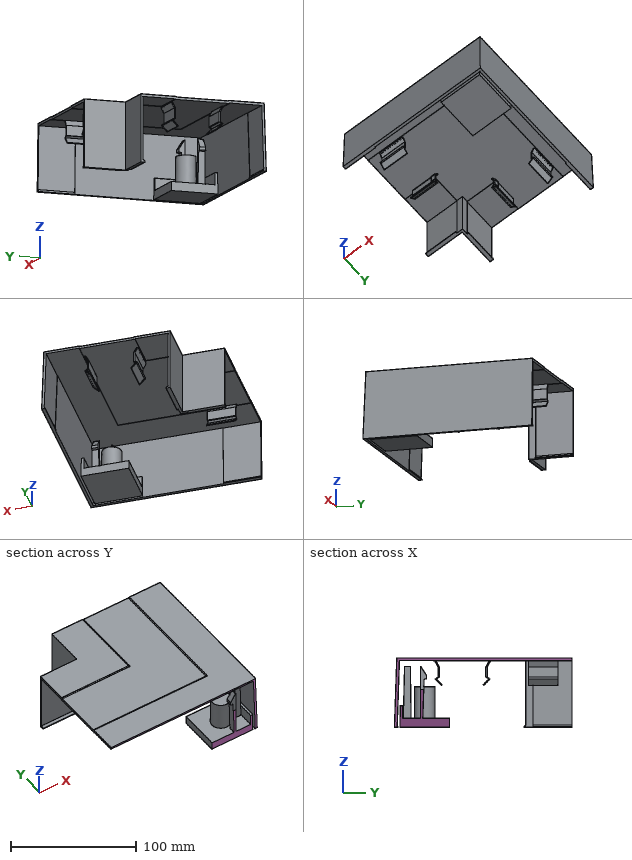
import cadquery as cq


COVER_REACH = 142.0
COVER_HEIGHT = 55.5
WALL_LEAN = 1.8
NOTCH = 35.0
INNER_WALL = 1.7
OUTER_WALL = 2.1
ROOF = 2.1

STRIP_START = 64.7
STRIP_END = 110.1
STRIP_DEPTH = 0.4
STRIP_BEVEL = 1.0
STRIP_MARGIN = 0.4

SEAT_DEPTH = 31.2
STEP = 0.4
OUTER_STEP = 0.3
INNER_LIP_WIDTH = 1.8
INNER_LIP_HEIGHT = 2.1
LIP_EDGE = 0.5
OUTER_LIP_WIDTH = 1.0
OUTER_LIP_HEIGHT = 1.7

CLIP_START = 11.4
CLIP_THICKNESS = 1.1
CLIP_ROOT_INSET = 0.4
CLIP_LEAN = 2.5
CLIP_BEND_Z = 48.4
CLIP_KNEE_Z = 40.2
CLIP_ELBOW = 2.1
CLIP_ELBOW_Z = 38.6
CLIP_TIP = 5.4
CLIP_TIP_Z = 33.5

BLOCK_START = 97.8
BLOCK_END = 137.5
FLOOR_HEIGHT = 7.4
RIM_HEIGHT = 17.3
RIM_WIDTH = 2.4
RIM_LEAN = 0.3
POST_RADIUS = 8.4
POST_TOP_RADIUS = 8.2
POST_TOP = 32.5

HOOK_BACK = 121.2
HOOK_TIP_WIDTH = 0.4
HOOK_REACH = 5.1
HOOK_TOP = 48.7
HOOK_NOSE_TOP = 41.5
HOOK_NOSE_BOTTOM = 38.9
HOOK_THROAT_Z = 38.3
HOOK_NECK = 3.1
HOOK_FOOT = 2.1
HOOK_SIDES_TOP = (129.0, 133.8)
HOOK_SIDES_FLOOR = (128.5, 134.8)

MITRE_NORMAL = cq.Vector(1, 1, 0)

ceiling = COVER_HEIGHT - ROOF
strip_ceiling = ceiling - STRIP_DEPTH
inner_face = NOTCH + INNER_WALL
outer_face = COVER_REACH - OUTER_WALL
outer_face_top = outer_face - WALL_LEAN * ceiling / COVER_HEIGHT
underside_start = STRIP_START - STRIP_MARGIN
underside_end = STRIP_END + STRIP_MARGIN
clip_end = NOTCH


def leg_bar(profile, start, end):
    """Bar along the X leg, from a profile of (reach, z) points."""
    points = [(-reach, z) for reach, z in profile]
    return cq.Workplane("YZ").workplane(offset=start).polyline(points).close().extrude(end - start)


def both_legs(leg):
    """A shape in the X leg joined with its copy in the Y leg."""
    return leg.union(leg.mirror(MITRE_NORMAL))


def mitred(profile, start):
    """Profile carried along both legs and mitred at the corner."""
    side = (
        cq.Workplane("XY")
        .polyline([(0, 0), (COVER_REACH, -COVER_REACH), (0, -COVER_REACH)])
        .close()
        .extrude(COVER_HEIGHT)
    )
    return both_legs(leg_bar(profile, start, COVER_REACH).intersect(side))


def shell():
    strip_top = COVER_HEIGHT - STRIP_DEPTH
    return mitred(
        [
            (NOTCH, 0),
            (NOTCH, COVER_HEIGHT),
            (STRIP_START, COVER_HEIGHT),
            (STRIP_START + STRIP_BEVEL, strip_top),
            (STRIP_END - STRIP_BEVEL, strip_top),
            (STRIP_END, COVER_HEIGHT),
            (COVER_REACH - WALL_LEAN, COVER_HEIGHT),
            (COVER_REACH, 0),
            (outer_face, 0),
            (outer_face_top, ceiling),
            (underside_end, ceiling),
            (underside_end, strip_ceiling),
            (underside_start, strip_ceiling),
            (underside_start, ceiling),
            (inner_face, ceiling),
            (inner_face, 0),
        ],
        start=0,
    )


def corner_thickening():
    """Extra layers on the inner wall and roof, and on the outer wall, beyond the step."""
    inner_layer = mitred(
        [
            (inner_face, 0),
            (inner_face + STEP, 0),
            (inner_face + STEP, strip_ceiling),
            (underside_start, strip_ceiling),
            (underside_start, ceiling),
            (inner_face, ceiling),
        ],
        start=SEAT_DEPTH,
    )
    outer_layer = mitred(
        [
            (outer_face, 0),
            (outer_face_top, ceiling),
            (outer_face_top - OUTER_STEP, ceiling),
            (outer_face - OUTER_STEP, 0),
        ],
        start=SEAT_DEPTH,
    )
    return inner_layer.union(outer_layer)


def lips():
    """Bevelled lips along the bottom edges, from the open end to the step."""
    lip_top_face = outer_face - WALL_LEAN * OUTER_LIP_HEIGHT / COVER_HEIGHT
    lip_edge = inner_face + INNER_LIP_WIDTH
    inner_lip = [(inner_face, 0), (lip_edge, 0), (lip_edge, LIP_EDGE), (inner_face, INNER_LIP_HEIGHT)]
    outer_lip = [(outer_face, 0), (outer_face - OUTER_LIP_WIDTH, 0), (lip_top_face, OUTER_LIP_HEIGHT)]
    lip_pair = leg_bar(inner_lip, 0, SEAT_DEPTH).union(leg_bar(outer_lip, 0, SEAT_DEPTH))
    return both_legs(lip_pair)


def clip(root, inward):
    """Bent clip hanging from the roof; inward is +1 or -1, towards the middle of the strip."""
    bends = [
        (0, strip_ceiling),
        (CLIP_LEAN, CLIP_BEND_Z),
        (CLIP_LEAN, CLIP_KNEE_Z),
        (CLIP_LEAN - CLIP_ELBOW, CLIP_ELBOW_Z),
        (CLIP_TIP, CLIP_TIP_Z),
    ]
    outer_side = [(root + inward * across, z) for across, z in bends]
    inner_side = [(reach + inward * CLIP_THICKNESS, z) for reach, z in outer_side[:-1]]
    tip_offset = CLIP_THICKNESS / 2
    tip_reach, tip_z = outer_side[-1]
    inner_side.append((tip_reach + inward * tip_offset, tip_z + tip_offset))
    return leg_bar(outer_side + inner_side[::-1], CLIP_START, clip_end)


def clip_backing(root):
    """Extra layer on the upright stretch of an inner clip, beyond the step."""
    near = root + CLIP_LEAN + CLIP_THICKNESS
    far = near + STEP
    return leg_bar(
        [(near, CLIP_KNEE_Z), (far, CLIP_KNEE_Z), (far, CLIP_BEND_Z), (near, CLIP_BEND_Z)],
        SEAT_DEPTH,
        clip_end,
    )


def make_cover():
    cover = shell().union(corner_thickening()).union(lips())
    inner_root = STRIP_START + CLIP_ROOT_INSET
    outer_root = STRIP_END - CLIP_ROOT_INSET
    inner_clip = clip(inner_root, 1).union(clip_backing(inner_root))
    outer_clip = clip(outer_root, -1)
    return cover.union(both_legs(inner_clip)).union(both_legs(outer_clip))


def block_base():
    """Square floor with a raised rim along its two outer edges."""
    floor = leg_bar(
        [(BLOCK_START, 0), (BLOCK_END, 0), (BLOCK_END, FLOOR_HEIGHT), (BLOCK_START, FLOOR_HEIGHT)],
        BLOCK_START,
        BLOCK_END - RIM_WIDTH,
    )
    rim = mitred(
        [
            (BLOCK_END - RIM_WIDTH, 0),
            (BLOCK_END, 0),
            (BLOCK_END - RIM_LEAN, RIM_HEIGHT),
            (BLOCK_END - RIM_WIDTH, RIM_HEIGHT),
        ],
        start=BLOCK_START,
    )
    return floor.intersect(floor.mirror(MITRE_NORMAL)).union(rim)


def post():
    centre = (BLOCK_START + BLOCK_END) / 2
    return (
        cq.Workplane("XY")
        .workplane(offset=FLOOR_HEIGHT)
        .center(centre, -centre)
        .circle(POST_RADIUS)
        .workplane(offset=POST_TOP - FLOOR_HEIGHT)
        .circle(POST_TOP_RADIUS)
        .loft()
    )


def hook():
    """Snap hook beside the outer wall of the X leg, its nose towards the open end."""
    nose = HOOK_BACK - HOOK_REACH
    side_profile = (
        cq.Workplane("XZ")
        .polyline(
            [
                (HOOK_BACK, FLOOR_HEIGHT),
                (HOOK_BACK, HOOK_TOP),
                (HOOK_BACK - HOOK_TIP_WIDTH, HOOK_TOP),
                (nose, HOOK_NOSE_TOP),
                (nose, HOOK_NOSE_BOTTOM),
                (HOOK_BACK - HOOK_NECK, HOOK_THROAT_Z),
                (HOOK_BACK - HOOK_FOOT, FLOOR_HEIGHT),
            ]
        )
        .close()
        .extrude(COVER_REACH)
    )
    top_start, top_end = HOOK_SIDES_TOP
    floor_start, floor_end = HOOK_SIDES_FLOOR
    front_outline = leg_bar(
        [
            (floor_start, FLOOR_HEIGHT),
            (top_start, HOOK_TOP),
            (top_end, HOOK_TOP),
            (floor_end, FLOOR_HEIGHT),
        ],
        0,
        COVER_REACH,
    )
    return side_profile.intersect(front_outline)


def make_corner_block():
    return block_base().union(post()).union(both_legs(hook()))


cover = make_cover()
corner_block = make_corner_block()

result = cq.Compound.makeCompound([*cover.solids().vals(), *corner_block.solids().vals()])